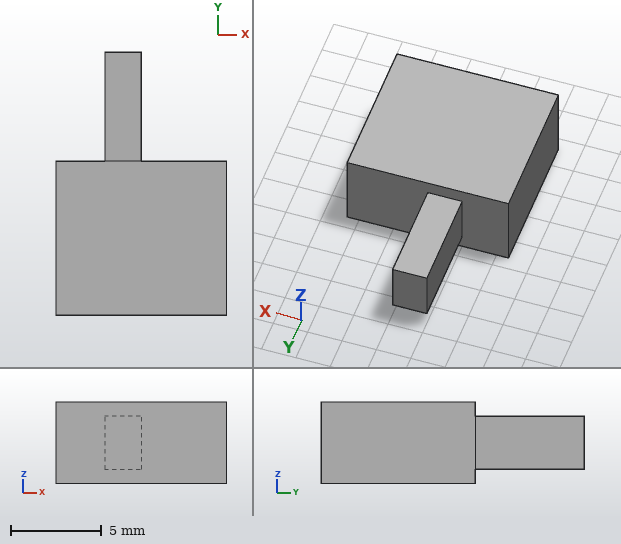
import cadquery as cq

total_length = 14.5
body_width = 9.4
body_height = 4.5

tab_length = 6.0
tab_width = 2.0
tab_height = 2.93
tab_side_offset = 2.7

body_length = total_length - tab_length
tab_bottom = (body_height - tab_height) / 2


def corner_box(width, length, height, corner):
    """Box whose lowest X, Y and Z corner sits at the given point."""
    return cq.Workplane("XY").box(width, length, height, centered=False).translate(corner)


body = corner_box(body_width, body_length, body_height, (0, 0, 0))
tab = corner_box(tab_width, tab_length, tab_height, (tab_side_offset, body_length, tab_bottom))

result = body.union(tab)